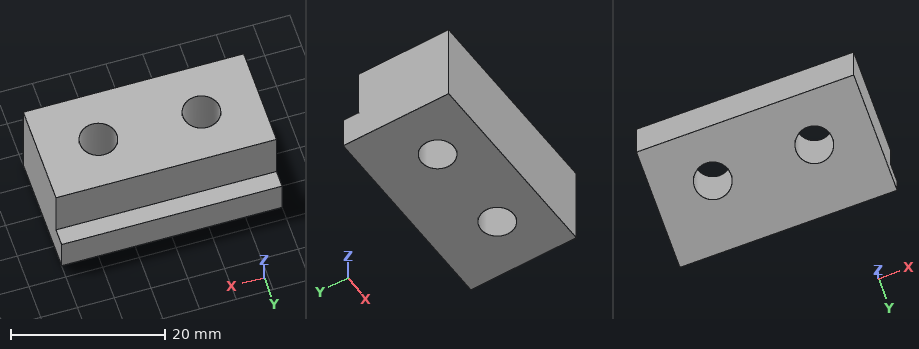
import cadquery as cq

length = 30.0
depth = 16.4
height = 12.5

ledge_depth = 2.4
ledge_height = 5.0
body_depth = depth - ledge_depth

hole_diameter = 5.0
hole_spacing = 14.0


def make_block():
    """L-shaped block: tall body at the front, ledge at the back."""
    base = cq.Workplane("XY").box(length, depth, ledge_height, centered=(True, False, False))
    body = cq.Workplane("XY").box(length, body_depth, height, centered=(True, False, False))
    return base.union(body)


def make_holes():
    """Cylinders that cut the pair of through holes."""
    half_spacing = hole_spacing / 2
    return (
        cq.Workplane("XY")
        .pushPoints([(x, body_depth / 2) for x in (-half_spacing, half_spacing)])
        .circle(hole_diameter / 2)
        .extrude(height)
    )


result = make_block().cut(make_holes())